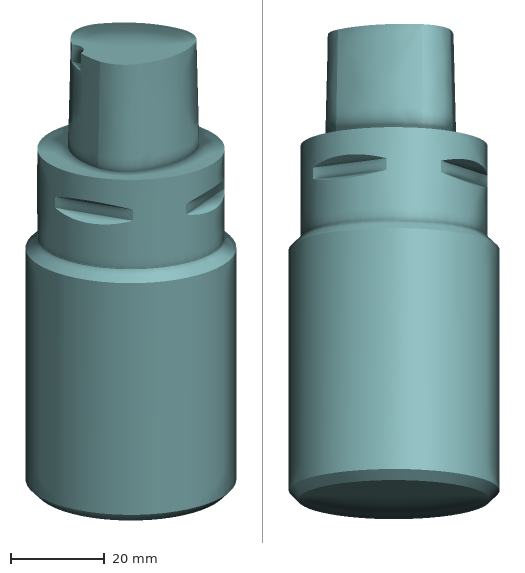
import cadquery as cq
import math

total_height = 101.0
taper_height = 24.0
collar_height = 20.0
collar_top = total_height - taper_height
collar_bottom = collar_top - collar_height

shank_radius = 45.0 / 2
collar_radius = 40.0 / 2
bottom_chamfer = 2.0
shoulder_height = shank_radius - collar_radius

rim_height = 0.2
rim_radius = collar_radius + 0.1

lobe_count = 3
lobe_pitch = 360.0 / lobe_count
first_lobe_angle = 90.0
polygon_width = 28.0
lobe_radius = 8.8
side_radius = polygon_width - lobe_radius
lobe_centre_distance = 6.1
flank_slope = 1 / 40
taper_angle = math.degrees(math.atan(flank_slope))

notch_depth = 4.0
notch_radius = 3.8
notch_bottom_distance = 10.83

groove_count = 4
groove_pitch = 360.0 / groove_count
first_groove_angle = 45.0
groove_centre_z = collar_top - 8.0
groove_floor_distance = 17.73
groove_floor_width = 2.5
groove_flank_angle = 30.0
groove_reach = shank_radius


def polar(radius, angle):
    """XY point at a radius and an angle in degrees."""
    return (radius * math.cos(math.radians(angle)), radius * math.sin(math.radians(angle)))


def offset_point(start, distance, angle):
    """XY point reached from start by going a distance along an angle."""
    step = polar(distance, angle)
    return (start[0] + step[0], start[1] + step[1])


def make_turned_body():
    """Shank, conical shoulder, narrow rim and collar."""
    return (
        cq.Workplane("XZ")
        .moveTo(0, 0)
        .lineTo(shank_radius - bottom_chamfer, 0)
        .lineTo(shank_radius, bottom_chamfer)
        .lineTo(shank_radius, collar_bottom - shoulder_height)
        .lineTo(rim_radius, collar_bottom - rim_height)
        .lineTo(rim_radius, collar_bottom)
        .lineTo(collar_radius, collar_bottom)
        .lineTo(collar_radius, collar_top)
        .lineTo(0, collar_top)
        .close()
        .revolve(360, (0, 0, 0), (0, 1, 0))
    )


def make_polygon_taper():
    """Three-lobed polygon rising from the collar and narrowing to the top."""
    half_lobe = lobe_pitch / 4
    first_lobe_centre = polar(lobe_centre_distance, first_lobe_angle)
    start = offset_point(first_lobe_centre, lobe_radius, first_lobe_angle - half_lobe)
    outline = cq.Workplane("XY").workplane(offset=collar_top).moveTo(*start)
    for index in range(lobe_count):
        lobe_angle = first_lobe_angle + index * lobe_pitch
        side_angle = lobe_angle + lobe_pitch / 2
        next_lobe_angle = lobe_angle + lobe_pitch
        lobe_centre = polar(lobe_centre_distance, lobe_angle)
        next_lobe_centre = polar(lobe_centre_distance, next_lobe_angle)
        lobe_tip = polar(lobe_centre_distance + lobe_radius, lobe_angle)
        lobe_end = offset_point(lobe_centre, lobe_radius, lobe_angle + half_lobe)
        side_middle = polar(side_radius - lobe_centre_distance, side_angle)
        side_end = offset_point(next_lobe_centre, lobe_radius, next_lobe_angle - half_lobe)
        outline = outline.threePointArc(lobe_tip, lobe_end).threePointArc(side_middle, side_end)
    return outline.close().extrude(taper_height, taper=taper_angle)


def make_notch():
    """Upright cylinder that scallops the -Y side of the taper."""
    return (
        cq.Workplane("XY")
        .workplane(offset=total_height - notch_depth)
        .center(0, -(notch_bottom_distance + notch_radius))
        .circle(notch_radius)
        .extrude(notch_depth)
    )


def make_groove(angle):
    """Trapezoidal groove cut straight across the collar, facing the given angle."""
    flank_rise = (groove_reach - groove_floor_distance) * math.tan(math.radians(groove_flank_angle))
    floor_half = groove_floor_width / 2
    mouth_half = floor_half + flank_rise
    return (
        cq.Workplane("XZ")
        .moveTo(groove_floor_distance, groove_centre_z - floor_half)
        .lineTo(groove_reach, groove_centre_z - mouth_half)
        .lineTo(groove_reach, groove_centre_z + mouth_half)
        .lineTo(groove_floor_distance, groove_centre_z + floor_half)
        .close()
        .extrude(collar_radius, both=True)
        .rotate((0, 0, 0), (0, 0, 1), angle)
    )


result = make_turned_body().union(make_polygon_taper()).cut(make_notch())
for groove_index in range(groove_count):
    result = result.cut(make_groove(first_groove_angle + groove_index * groove_pitch))